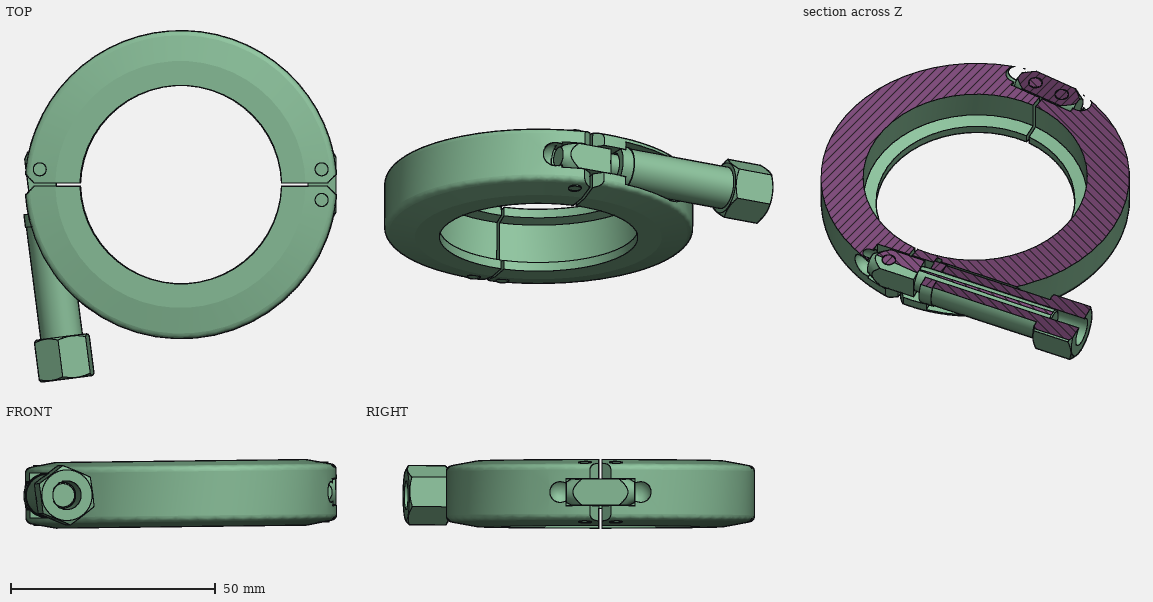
import cadquery as cq
import math

CLAMP_TILT = -0.69

OUTER_RADIUS = 38.1
FLAT_RADIUS = 30.6
LIP_RADIUS = 24.65
GROOVE_RADIUS = 27.7
HALF_THICKNESS = 8.045
SIDE_CONE_ANGLE = 10.5
RIM_FILLET = 1.5
LIP_THICKNESS = 2.25
GROOVE_FLANK_ANGLE = 15
HALF_GAP = 0.36
CENTRE_SHIFT = 0.42
CORNER_CHAMFER_X = 35.8

PIN_X = 34.45
PIN_Y = 3.75
PIN_DIAMETER = 3.18
PIN_CLEARANCE_DIAMETER = 3.25

BAR_WIDTH = 6.86
BAR_THICKNESS = 6.35
BAR_TIP = 4.6
BAR_TIP_DIAMETER = 4.98
BAR_TIP_CONE_ANGLE = 30
BAR_SLOT_HEIGHT = 6.6
BAR_SLOT_WIDTH = 7.3
BAR_SLOT_END = 4.65
SLOT_BALL_CENTRE = 5.5

BOLT_ANGLE = 7.3
BAR_END = 8.2
SHANK_DIAMETER = 6.35
SHANK_END = 44.1
SHANK_CHAMFER = 0.33
WASHER_DIAMETER = 10.74
WASHER_TONGUE_WIDTH = 7.0
WASHER_START = 10.5
WASHER_SHOULDER = 11.9
WASHER_END = 13.65
SLEEVE_DIAMETER = 10.31
HEX_START = 41.3
HEX_END = 51.65
HEX_ACROSS_FLATS = 12.7
HEX_TURN = 23.2
HEX_CHAMFER_DIAMETER = 12.4
HEX_CHAMFER_ANGLE = 30
NUT_BORE_DIAMETER = 7.0

WASHER_POCKET_WIDTH = 11.0

REACH = 60.0


def rod(diameter, start, end):
    """Cylinder on the bolt axis, which runs along -Y from the pin at the origin."""
    return cq.Workplane("XZ", origin=(0, -start, 0)).circle(diameter / 2).extrude(end - start)


def block(x_range, y_range, height):
    """Box between the given X and Y limits, centred on Z = 0."""
    x_start, x_end = x_range
    y_start, y_end = y_range
    box = cq.Workplane("XY").box(x_end - x_start, y_end - y_start, height)
    return box.translate(((x_start + x_end) / 2, (y_start + y_end) / 2, 0))


def pin_at(x, y, diameter, half_length):
    """Cylinder parallel to Z, centred on Z = 0."""
    return cq.Workplane("XY", origin=(x, y, 0)).circle(diameter / 2).extrude(half_length, both=True)


def revolve_about_y(outline):
    """Solid of revolution about the Y axis from a closed outline of (radius, y) points."""
    return cq.Workplane("XY").polyline(outline).close().revolve(360, (0, 0, 0), (0, 1, 0))


def place_on_bolt(shape):
    """Move a shape from the bolt frame to the bolt pin and swing it to the bolt angle."""
    turned = shape.rotate((0, 0, 0), (0, 0, 1), BOLT_ANGLE)
    return turned.translate((-PIN_X, PIN_Y, 0))


def ring():
    """Full ring with a V groove inside and conical sides, centred on the origin."""
    cone_drop = (OUTER_RADIUS - FLAT_RADIUS) * math.tan(math.radians(SIDE_CONE_ANGLE))
    rim = HALF_THICKNESS - cone_drop
    lip = HALF_THICKNESS - LIP_THICKNESS
    groove = lip - (GROOVE_RADIUS - LIP_RADIUS) * math.tan(math.radians(GROOVE_FLANK_ANGLE))
    upper = [
        (GROOVE_RADIUS, groove),
        (LIP_RADIUS, lip),
        (LIP_RADIUS, HALF_THICKNESS),
        (FLAT_RADIUS, HALF_THICKNESS),
        (OUTER_RADIUS, rim),
    ]
    lower = [(radius, -height) for radius, height in reversed(upper)]
    body = cq.Workplane("XZ").polyline(upper + lower).close().revolve(360, (0, 0, 0), (0, 1, 0))
    rim_edges = cq.selectors.RadiusNthSelector(-1)
    return body.edges(rim_edges).fillet(RIM_FILLET)


def half_ring(side):
    """Half ring on the +Y side (side = 1) or the -Y side (side = -1)."""
    chamfer_top = HALF_GAP + REACH - CORNER_CHAMFER_X
    keep = [
        (-CORNER_CHAMFER_X, HALF_GAP),
        (CORNER_CHAMFER_X, HALF_GAP),
        (REACH, chamfer_top),
        (REACH, REACH),
        (-REACH, REACH),
        (-REACH, chamfer_top),
    ]
    half = cq.Workplane("XY").polyline([(x, y * side) for x, y in keep]).close()
    half = half.extrude(REACH, both=True)
    return half.intersect(ring().translate((0, -side * CENTRE_SHIFT, 0)))


def bar_slot():
    """Slot for a bar end around a pin at the origin, open to -X and -Y, with a ball-shaped run-out."""
    slot = block((-REACH, BAR_SLOT_WIDTH / 2), (-REACH, BAR_SLOT_END), BAR_SLOT_HEIGHT)
    channel = rod(BAR_WIDTH, -SLOT_BALL_CENTRE, 0)
    ball = cq.Workplane("XY").sphere(BAR_WIDTH / 2).translate((0, SLOT_BALL_CENTRE, 0))
    return slot.union(channel).union(ball)


def bolt_slot():
    """Stepped slot for the bolt and its washer, open to -X."""
    half_washer = WASHER_DIAMETER / 2
    shank_slot = block((-REACH, BAR_SLOT_WIDTH / 2), (-WASHER_START, REACH), WASHER_TONGUE_WIDTH)
    tongue_slot = block((-REACH, half_washer), (-WASHER_SHOULDER, -WASHER_START), WASHER_TONGUE_WIDTH)
    pocket = block((-REACH, 0), (-REACH, -WASHER_SHOULDER), WASHER_POCKET_WIDTH)
    pocket = pocket.union(rod(WASHER_POCKET_WIDTH, WASHER_SHOULDER, REACH))
    return shank_slot.union(tongue_slot).union(pocket)


hinge_slot = bar_slot().mirror("YZ").translate((PIN_X, PIN_Y, 0))
pin_places = [(-PIN_X, PIN_Y), (PIN_X, PIN_Y), (PIN_X, -PIN_Y)]

upper_half = half_ring(1).cut(hinge_slot).cut(place_on_bolt(bar_slot()))
lower_half = half_ring(-1).cut(hinge_slot.mirror("XZ")).cut(place_on_bolt(bolt_slot()))
for x, y in pin_places:
    hole = pin_at(x, y, PIN_DIAMETER, REACH)
    upper_half = upper_half.cut(hole)
    lower_half = lower_half.cut(hole)

pin_half = HALF_THICKNESS - (PIN_X - FLAT_RADIUS) * math.tan(math.radians(SIDE_CONE_ANGLE))
pins = [pin_at(x, y, PIN_DIAMETER, pin_half) for x, y in pin_places]


def bar(length):
    """Flat bar with a conical tip beyond the pin hole at the origin, running along -Y."""
    half = BAR_WIDTH / 2
    stock = block((-half, half), (-length, BAR_TIP), BAR_THICKNESS)
    cone_length = BAR_TIP + length
    tip_radius = BAR_TIP_DIAMETER / 2
    base_radius = tip_radius + cone_length * math.tan(math.radians(BAR_TIP_CONE_ANGLE))
    cone = revolve_about_y([
        (0, BAR_TIP),
        (tip_radius, BAR_TIP),
        (base_radius, -length),
        (0, -length),
    ])
    return stock.intersect(cone).cut(pin_at(0, 0, PIN_CLEARANCE_DIAMETER, REACH))


link_half = bar(PIN_Y).translate((PIN_X, PIN_Y, 0))
link = link_half.union(link_half.mirror("XZ"))

shank = rod(SHANK_DIAMETER, BAR_END, SHANK_END).faces("<Y").chamfer(SHANK_CHAMFER)
bolt = place_on_bolt(bar(BAR_END).union(shank))

tongue_stock = block((-REACH, REACH), (-WASHER_SHOULDER, -WASHER_START), WASHER_TONGUE_WIDTH)
tongue = rod(WASHER_DIAMETER, WASHER_START, WASHER_SHOULDER).intersect(tongue_stock)
washer = tongue.union(rod(WASHER_DIAMETER, WASHER_SHOULDER, WASHER_END))
washer = place_on_bolt(washer.cut(rod(NUT_BORE_DIAMETER, 0, WASHER_END)))


def hexagon():
    """Hexagon of the nut on the bolt axis, chamfered on both end faces."""
    corner_radius = HEX_ACROSS_FLATS / math.sqrt(3)
    face_radius = HEX_CHAMFER_DIAMETER / 2
    chamfer_length = (corner_radius - face_radius) * math.tan(math.radians(HEX_CHAMFER_ANGLE))
    prism = cq.Workplane("XZ", origin=(0, -HEX_START, 0)).polygon(6, 2 * corner_radius)
    prism = prism.extrude(HEX_END - HEX_START).rotate((0, 0, 0), (0, 1, 0), HEX_TURN)
    envelope = revolve_about_y([
        (0, -HEX_START),
        (face_radius, -HEX_START),
        (corner_radius, -HEX_START - chamfer_length),
        (corner_radius, -HEX_END + chamfer_length),
        (face_radius, -HEX_END),
        (0, -HEX_END),
    ])
    return prism.intersect(envelope)


nut = rod(SLEEVE_DIAMETER, WASHER_END, HEX_START).union(hexagon())
nut = place_on_bolt(nut.cut(rod(NUT_BORE_DIAMETER, 0, REACH)))

bodies = [upper_half, lower_half, link, bolt, washer, nut, *pins]
tilt_axis = cq.Vector(0, 1, 0)
result = cq.Compound.makeCompound(
    [body.solids().val().rotate(cq.Vector(0, 0, 0), tilt_axis, CLAMP_TILT) for body in bodies]
)